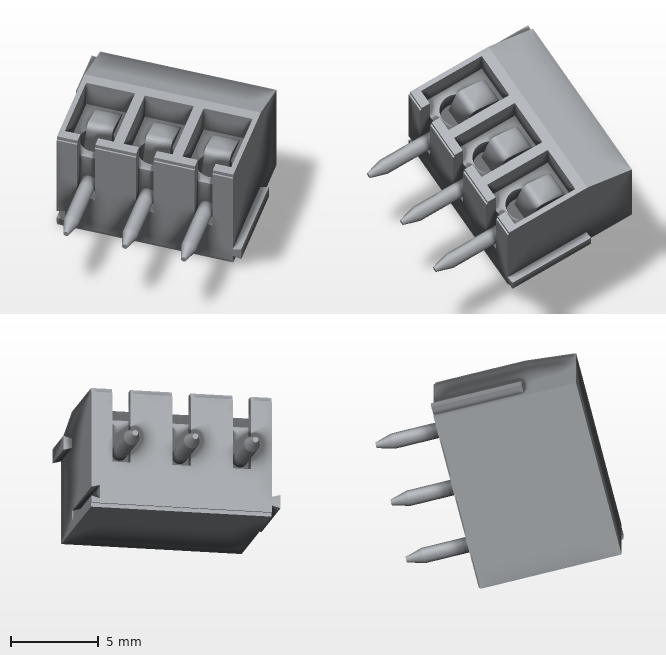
import cadquery as cq
import math

POLES = 3
PITCH = 3.5
HOUSING_WIDTH = POLES * PITCH
HOUSING_DEPTH = 8.37
HOUSING_HEIGHT = 7.0
ROOF_RUN = 3.0
ROOF_DROP = 1.0
FRONT_STEP_DEPTH = 0.1
FRONT_STEP_HEIGHT = 0.23

POCKET_WIDTH = 2.91
POCKET_FRONT = 0.65
POCKET_BACK = 4.74
POCKET_FLOOR = 5.31
SLOT_WIDTH = 1.06
SLOT_FLOOR = 2.71

WELL_DIAMETER = 2.0
WELL_CENTRE_Y = 2.15
WELL_FLOOR = 4.07
LEAF_WIDTH = 1.54
LEAF_FRONT = 2.05
LEAF_CREST_Y = 2.96
LEAF_CREST_Z = 5.77
LEAF_BEND_RADIUS = 0.45
LEAF_FRONT_ANGLE = 69.0
LEAF_TOP_ANGLE = 12.8
LEAF_TOP_BACK = 4.25
LEAF_FRONT_FACETS = 5
LEAF_REAR_FACETS = 4

PIN_DIAMETER = 0.9
PIN_TIP_DIAMETER = 0.33
PIN_Z = 3.4
PIN_REACH = 3.82
PIN_TAPER = 1.01

RAIL_SIZE = 0.5
UPPER_TONGUE_Z = 5.15
UPPER_TONGUE_TIP = 0.83
UPPER_TONGUE_ROOT = 0.55
LOWER_RAIL_Z = 0.89
LOWER_RAIL_TIP = 0.79
LOWER_RAIL_ROOT = 0.51
LOWER_RAIL_BACK = 5.3
GROOVE_END_RELIEF = 0.18
GROOVE_RELIEF_DEPTH = 0.24

RIDGE_Y = HOUSING_DEPTH - ROOF_RUN
END_X = HOUSING_WIDTH / 2


def box(x_range, y_range, z_range):
    """Box spanning the given ranges."""
    sizes = [high - low for low, high in (x_range, y_range, z_range)]
    corner = (x_range[0], y_range[0], z_range[0])
    return cq.Workplane("XY").box(*sizes, centered=False).translate(corner)


def dovetail(root_x, tip_x, z, root_height, tip_height, y_range):
    """Dovetail bar along Y, flaring from root_x to tip_x about height z."""
    outline = [
        (root_x, z - root_height / 2),
        (tip_x, z - tip_height / 2),
        (tip_x, z + tip_height / 2),
        (root_x, z + root_height / 2),
    ]
    front, back = y_range
    plane = cq.Workplane("XZ", origin=(0, front, 0))
    return plane.polyline(outline).close().extrude(front - back)


def housing_block():
    """Housing with its sloping rear roof and stepped front edges."""
    step_top = HOUSING_HEIGHT - FRONT_STEP_HEIGHT
    outline = [
        (FRONT_STEP_DEPTH, 0),
        (HOUSING_DEPTH, 0),
        (HOUSING_DEPTH, HOUSING_HEIGHT - ROOF_DROP),
        (RIDGE_Y, HOUSING_HEIGHT),
        (FRONT_STEP_DEPTH, HOUSING_HEIGHT),
        (FRONT_STEP_DEPTH, step_top),
        (0, step_top),
        (0, FRONT_STEP_HEIGHT),
        (FRONT_STEP_DEPTH, FRONT_STEP_HEIGHT),
    ]
    return cq.Workplane("YZ").polyline(outline).close().extrude(END_X, both=True)


def terminal_cavity():
    """Pocket, front slot and round well of one pole, about X = 0."""
    half_pocket = POCKET_WIDTH / 2
    half_slot = SLOT_WIDTH / 2
    pocket = box(
        (-half_pocket, half_pocket), (POCKET_FRONT, POCKET_BACK), (POCKET_FLOOR, HOUSING_HEIGHT)
    )
    slot = box((-half_slot, half_slot), (0, POCKET_FRONT), (SLOT_FLOOR, HOUSING_HEIGHT))
    well = (
        cq.Workplane("XY", origin=(0, WELL_CENTRE_Y, WELL_FLOOR))
        .circle(WELL_DIAMETER / 2)
        .extrude(POCKET_FLOOR - WELL_FLOOR)
    )
    return pocket.union(slot).union(well)


def bend_point(centre, degrees):
    """Point on a leaf bend; the angle is measured from +Z towards +Y."""
    angle = math.radians(degrees)
    return (
        centre[0] + LEAF_BEND_RADIUS * math.sin(angle),
        centre[1] + LEAF_BEND_RADIUS * math.cos(angle),
    )


def leaf():
    """Bent contact leaf of one pole, with faceted bends at the crest and at its rear end."""
    facet_angle = (LEAF_FRONT_ANGLE + LEAF_TOP_ANGLE) / LEAF_FRONT_FACETS
    crest_bend = (LEAF_CREST_Y, LEAF_CREST_Z - LEAF_BEND_RADIUS)
    crest = [
        bend_point(crest_bend, step * facet_angle - LEAF_FRONT_ANGLE)
        for step in range(LEAF_FRONT_FACETS + 1)
    ]

    run = LEAF_TOP_BACK - crest[-1][0]
    drop = run * math.tan(math.radians(LEAF_TOP_ANGLE))
    rear_bend = (crest_bend[0] + run, crest_bend[1] - drop)
    rear = [
        bend_point(rear_bend, step * facet_angle + LEAF_TOP_ANGLE)
        for step in range(LEAF_REAR_FACETS + 1)
    ]

    outline = [(LEAF_FRONT, WELL_FLOOR)] + crest + rear + [(rear[-1][0], WELL_FLOOR)]
    return cq.Workplane("YZ").polyline(outline).close().extrude(LEAF_WIDTH / 2, both=True)


def pin():
    """Tapered round pin of one pole, rooted in the wall behind the slot."""
    radius = PIN_DIAMETER / 2
    half_profile = [
        (0, POCKET_FRONT),
        (radius, POCKET_FRONT),
        (radius, PIN_TAPER - PIN_REACH),
        (PIN_TIP_DIAMETER / 2, -PIN_REACH),
        (0, -PIN_REACH),
    ]
    turned = cq.Workplane("XY").polyline(half_profile).close().revolve(360, (0, 0), (0, 1))
    return turned.translate((0, 0, PIN_Z))


def end_groove():
    """Dovetail groove on the -X end, with a deeper relief at its closed end."""
    channel = dovetail(
        -END_X, RAIL_SIZE - END_X, LOWER_RAIL_Z, LOWER_RAIL_ROOT, LOWER_RAIL_TIP, (0, LOWER_RAIL_BACK)
    )
    relief = box(
        (-END_X, RAIL_SIZE + GROOVE_RELIEF_DEPTH - END_X),
        (LOWER_RAIL_BACK - GROOVE_END_RELIEF, LOWER_RAIL_BACK),
        (LOWER_RAIL_Z - LOWER_RAIL_ROOT / 2, LOWER_RAIL_Z + LOWER_RAIL_ROOT / 2),
    )
    return channel.union(relief)


upper_tongue = dovetail(
    -END_X,
    -END_X - RAIL_SIZE,
    UPPER_TONGUE_Z,
    UPPER_TONGUE_ROOT,
    UPPER_TONGUE_TIP,
    (RIDGE_Y, HOUSING_DEPTH),
)
lower_tongue = dovetail(
    END_X, END_X + RAIL_SIZE, LOWER_RAIL_Z, LOWER_RAIL_ROOT, LOWER_RAIL_TIP, (0, LOWER_RAIL_BACK)
)

result = housing_block().cut(end_groove()).union(upper_tongue).union(lower_tongue)

for pole in range(POLES):
    offset = ((pole - (POLES - 1) / 2) * PITCH, 0, 0)
    result = result.cut(terminal_cavity().translate(offset))
    result = result.union(leaf().translate(offset)).union(pin().translate(offset))